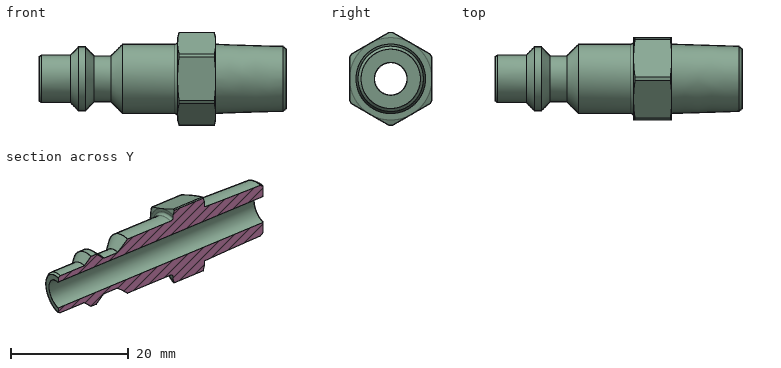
import cadquery as cq
import math

length = 42.0
bore_diameter = 5.5

tip_diameter = 8.1
tip_face_diameter = 7.5
tip_chamfer_length = 0.4
collar_diameter = 10.9
collar_ramp_start = 5.35
collar_start = 6.7
collar_end = 7.85
neck_diameter = 7.8
neck_start = 9.35
neck_end = 12.2

body_diameter = 11.8
body_start = 14.2
body_fillet_radius = 0.5

hex_start = 23.5
hex_end = 30.0
hex_across_flats = 14.0
hex_corner_diameter = 15.8
hex_chamfer_angle = 15.0

taper_ratio = 1 / 16
thread_chamfer_length = 0.65
thread_end_diameter = 10.1


def make_turned_body():
    """Revolve the stepped outline; the hexagon is added separately."""
    tip_radius = tip_diameter / 2
    collar_radius = collar_diameter / 2
    neck_radius = neck_diameter / 2
    body_radius = body_diameter / 2
    taper_end = length - thread_chamfer_length
    taper_end_radius = body_radius - (taper_end - hex_end) * taper_ratio / 2
    fillet_inset = body_fillet_radius * (1 - math.sin(math.radians(45)))
    fillet_start = hex_start - body_fillet_radius
    fillet_middle = (hex_start - fillet_inset, body_radius + fillet_inset)
    fillet_end = (hex_start, body_radius + body_fillet_radius)

    outline = (
        cq.Workplane("XY")
        .lineTo(0, tip_face_diameter / 2)
        .lineTo(tip_chamfer_length, tip_radius)
        .lineTo(collar_ramp_start, tip_radius)
        .lineTo(collar_start, collar_radius)
        .lineTo(collar_end, collar_radius)
        .lineTo(neck_start, neck_radius)
        .lineTo(neck_end, neck_radius)
        .lineTo(body_start, body_radius)
        .lineTo(fillet_start, body_radius)
        .threePointArc(fillet_middle, fillet_end)
        .lineTo(hex_end, fillet_end[1])
        .lineTo(hex_end, body_radius)
        .lineTo(taper_end, taper_end_radius)
        .lineTo(length, thread_end_diameter / 2)
        .lineTo(length, 0)
        .close()
    )
    return outline.revolve(360, (0, 0, 0), (1, 0, 0))


def make_hexagon():
    """Hexagon with flats facing +Y and -Y, chamfered at both ends."""
    flat_radius = hex_across_flats / 2
    corner_radius = hex_corner_diameter / 2
    chamfer_length = (corner_radius - flat_radius) * math.tan(math.radians(hex_chamfer_angle))
    sharp_corner_diameter = hex_across_flats / math.cos(math.radians(30))

    prism = (
        cq.Workplane("YZ", origin=(hex_start, 0, 0))
        .transformed(rotate=(0, 0, 90))
        .polygon(6, sharp_corner_diameter)
        .extrude(hex_end - hex_start)
    )
    turned_envelope = (
        cq.Workplane("XY")
        .moveTo(hex_start, 0)
        .lineTo(hex_start, flat_radius)
        .lineTo(hex_start + chamfer_length, corner_radius)
        .lineTo(hex_end - chamfer_length, corner_radius)
        .lineTo(hex_end, flat_radius)
        .lineTo(hex_end, 0)
        .close()
        .revolve(360, (0, 0, 0), (1, 0, 0))
    )
    return prism.intersect(turned_envelope)


bore = cq.Workplane("YZ").circle(bore_diameter / 2).extrude(length)

result = make_turned_body().union(make_hexagon()).cut(bore)